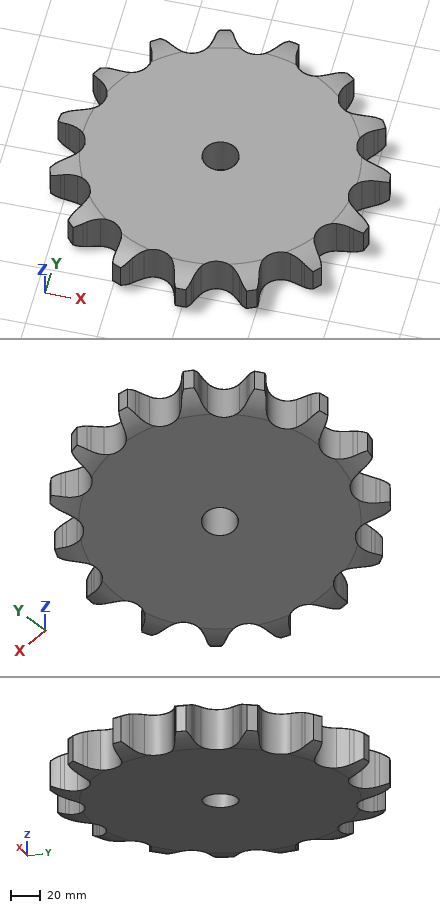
import cadquery as cq
import math

teeth = 15
overall_width = 231.6
thickness = 29.5
bore_diameter = 25.0
chain_pitch = 44.5
roller_diameter = 28.0
face_radius = 96.0
tip_land = 18.5

seat_radius = roller_diameter / 2
working_radius = 1.3 * roller_diameter
straight_length = 3.0
topping_radius = 23.5
seat_half_angle = 55 - 60 / teeth
working_angle = 18 - 56 / teeth

tooth_step = 360 / teeth
first_tooth_angle = -90
pitch_radius = chain_pitch / 2 / math.sin(math.radians(tooth_step / 2))


def offset(point, length, angle):
    """Point reached from another by a length along an angle in degrees."""
    turn = math.radians(angle)
    return point[0] + length * math.cos(turn), point[1] + length * math.sin(turn)


def rotate(point, angle):
    """Point turned about the origin by an angle in degrees."""
    start_angle = math.degrees(math.atan2(point[1], point[0]))
    return offset((0, 0), math.hypot(*point), start_angle + angle)


def mirror(point):
    """Point reflected across the horizontal axis."""
    return point[0], -point[1]


roller_center = (pitch_radius, 0)
root = (pitch_radius - seat_radius, 0)

seat_end_angle = 180 - seat_half_angle
seat_end = offset(roller_center, seat_radius, seat_end_angle)

working_center = offset(seat_end, working_radius, seat_end_angle - 180)
working_end_angle = seat_end_angle - working_angle
working_mid = offset(working_center, working_radius, seat_end_angle - working_angle / 2)
working_end = offset(working_center, working_radius, working_end_angle)

straight_end = offset(working_end, straight_length, working_end_angle - 90)
topping_center = offset(straight_end, topping_radius, working_end_angle)
topping_start_angle = working_end_angle - 180

widest_gap_angle = -tooth_step / 4
topping_center_x = rotate(topping_center, widest_gap_angle)[0]
reach = (overall_width / 2 - topping_center_x) / topping_radius
topping_end_angle = -math.degrees(math.acos(reach)) - widest_gap_angle
topping_mid = offset(topping_center, topping_radius, (topping_start_angle + topping_end_angle) / 2)
tip_corner = offset(topping_center, topping_radius, topping_end_angle)
outer_radius = math.hypot(*tip_corner)


def tooth_outline():
    """Closed outline of all teeth, running counterclockwise."""
    gap_angles = [first_tooth_angle + (index + 0.5) * tooth_step for index in range(teeth)]
    outline = cq.Workplane("XY").workplane(offset=-thickness / 2)
    outline = outline.moveTo(*rotate(mirror(tip_corner), gap_angles[0]))
    for angle in gap_angles:
        next_tip = offset((0, 0), outer_radius, angle + tooth_step / 2)
        next_corner = rotate(mirror(tip_corner), angle + tooth_step)
        outline = (
            outline
            .threePointArc(rotate(mirror(topping_mid), angle), rotate(mirror(straight_end), angle))
            .lineTo(*rotate(mirror(working_end), angle))
            .threePointArc(rotate(mirror(working_mid), angle), rotate(mirror(seat_end), angle))
            .threePointArc(rotate(root, angle), rotate(seat_end, angle))
            .threePointArc(rotate(working_mid, angle), rotate(working_end, angle))
            .lineTo(*rotate(straight_end, angle))
            .threePointArc(rotate(topping_mid, angle), rotate(tip_corner, angle))
            .threePointArc(next_tip, next_corner)
        )
    return outline.close()


def relieved_disc():
    """Disc whose rim curves in toward the tips, tangent to both side faces."""
    half = thickness / 2
    half_land = tip_land / 2
    run = outer_radius - face_radius
    drop = half - half_land
    relief_radius = (run**2 + drop**2) / (2 * drop)
    relief_center_z = half - relief_radius
    mid_angle = 90 - math.degrees(math.asin(run / relief_radius)) / 2
    upper_mid = offset((face_radius, relief_center_z), relief_radius, mid_angle)
    return (
        cq.Workplane("XZ")
        .moveTo(0, -half)
        .lineTo(face_radius, -half)
        .threePointArc(mirror(upper_mid), (outer_radius, -half_land))
        .lineTo(outer_radius, half_land)
        .threePointArc(upper_mid, (face_radius, half))
        .lineTo(0, half)
        .close()
        .revolve(360, (0, 0), (0, 1))
    )


sprocket = tooth_outline().extrude(thickness).intersect(relieved_disc())
bore = cq.Workplane("XY").circle(bore_diameter / 2).extrude(thickness, both=True)
result = sprocket.cut(bore)